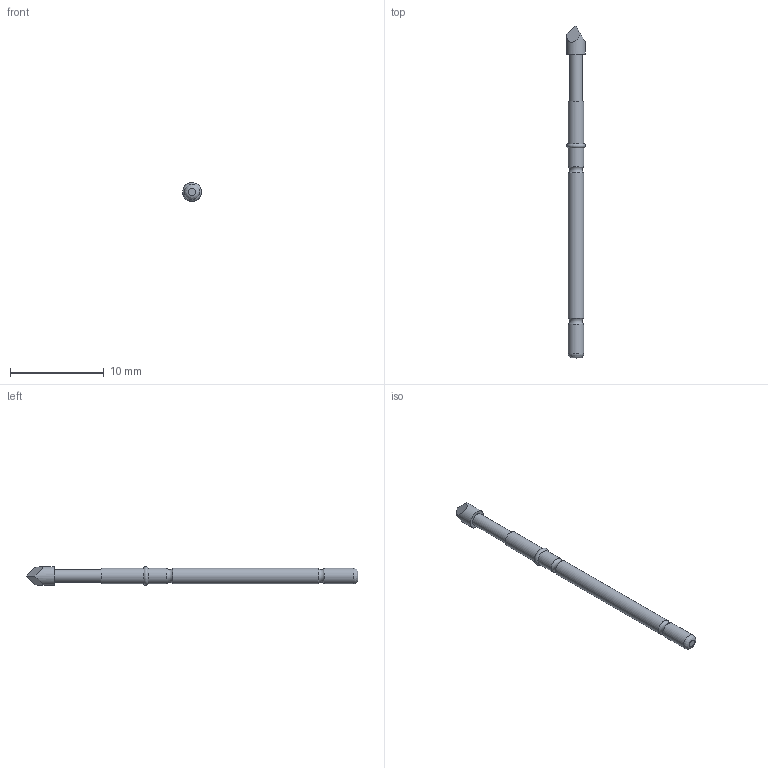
import cadquery as cq
import math

total_length = 35.4
head_length = 3.0
barrel_start = 8.05
ring_center = 12.77
groove_centers = (15.31, 31.5)

head_diameter = 2.0
plunger_diameter = 1.36
barrel_diameter = 1.65
ring_diameter = 2.0
ring_section_radius = 0.25
groove_width = 0.65
groove_depth = 0.15
tail_rounding = 0.44

facet_count = 3
facet_angle = 60.0

tip_y = total_length / 2
barrel_radius = barrel_diameter / 2


def rod(diameter, start, end):
    """Round bar along Y between two distances from the tip."""
    plane = cq.Workplane("XZ", origin=(0, tip_y - start, 0))
    return plane.circle(diameter / 2).extrude(end - start)


def around_axis(profile):
    """Revolve a profile of the XY plane around the Y axis."""
    return profile.revolve(360, (0, 0, 0), (0, 1, 0))


def tip_pyramid():
    """Three-sided pyramid as long as the head, pointed at the tip, with one edge towards -X."""
    inscribed_radius = head_length / math.tan(math.radians(facet_angle))
    corner_radius = inscribed_radius / math.cos(math.pi / facet_count)
    base_y = tip_y - head_length
    base = []
    for index in range(facet_count):
        angle = math.pi + index * 2 * math.pi / facet_count
        base.append(cq.Vector(corner_radius * math.cos(angle), base_y, corner_radius * math.sin(angle)))
    outlines = [base]
    for index in range(facet_count):
        outlines.append([base[index], base[(index + 1) % facet_count], cq.Vector(0, tip_y, 0)])
    faces = [cq.Face.makeFromWires(cq.Wire.makePolygon(outline, close=True)) for outline in outlines]
    return cq.Workplane(cq.Solid.makeSolid(cq.Shell.makeShell(faces)))


def faceted_head():
    """Cylindrical head sharpened to a three-sided point."""
    return rod(head_diameter, 0, head_length).intersect(tip_pyramid())


def plunger():
    """Bar between the head and the barrel."""
    return rod(plunger_diameter, head_length, barrel_start)


def barrel():
    """Barrel with a plain front end and a rounded tail."""
    tube = rod(barrel_diameter, barrel_start, total_length)
    return tube.faces("<Y").edges().fillet(tail_rounding)


def press_ring():
    """Ring with a round outer section, sunk into the barrel."""
    center_radius = ring_diameter / 2 - ring_section_radius
    center_y = tip_y - ring_center
    profile = (
        cq.Workplane("XY")
        .moveTo(center_radius, center_y + ring_section_radius)
        .threePointArc((ring_diameter / 2, center_y), (center_radius, center_y - ring_section_radius))
        .close()
    )
    return around_axis(profile)


def crimp_groove(center):
    """Cutter for a groove with an arc-shaped floor."""
    front = tip_y - center + groove_width / 2
    back = front - groove_width
    profile = (
        cq.Workplane("XY")
        .moveTo(barrel_radius, front)
        .threePointArc((barrel_radius - groove_depth, tip_y - center), (barrel_radius, back))
        .lineTo(barrel_diameter, back)
        .lineTo(barrel_diameter, front)
        .close()
    )
    return around_axis(profile)


result = faceted_head().union(plunger()).union(barrel()).union(press_ring())
for groove_center in groove_centers:
    result = result.cut(crimp_groove(groove_center))